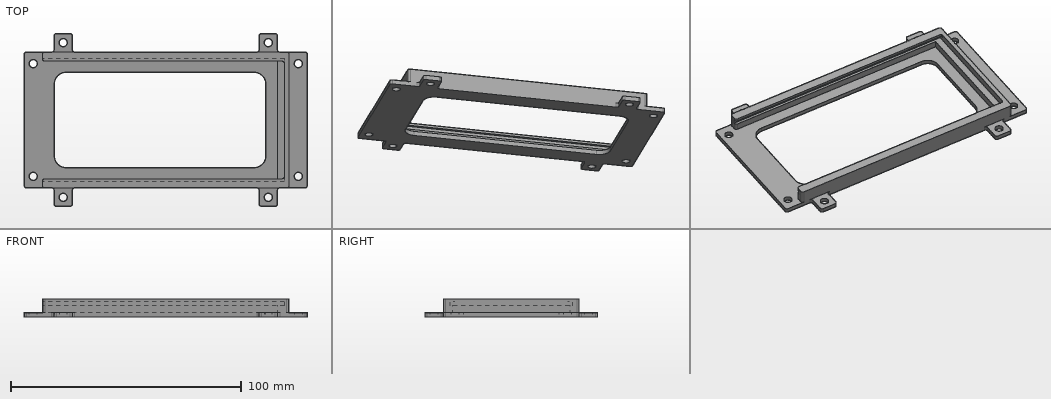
import cadquery as cq

plate_length = 123.0
plate_width = 59.0
plate_thickness = 2.0
corner_radius = 1.0

overall_width = 75.0
tab_width = 8.0
tab_x = 44.5
tab_hole_y = 33.6
plate_hole_x = 57.6
plate_hole_y = 24.5
hole_diameter = 3.5

window_left = -48.3
window_right = 43.4
window_width = 41.3
window_radius = 5.0

overall_height = 8.0
rail_length = 107.0
rail_end_x = rail_length / 2
end_wall_thickness = 2.0

inner_width = 51.0
groove_depth = 1.17
groove_width = inner_width + 2 * groove_depth
groove_bottom = 5.0
groove_top = 6.9
pocket_end_x = rail_end_x - end_wall_thickness
ledge_depth = 3.1
ledge_start_x = pocket_end_x - ledge_depth


def box_between(x_start, x_end, width, z_bottom, z_top):
    """Box between two X and two Z positions, centred on Y."""
    return (
        cq.Workplane("XY")
        .box(x_end - x_start, width, z_top - z_bottom, centered=(False, True, False))
        .translate((x_start, 0, z_bottom))
    )


def make_plate():
    """Rounded plate with four tabs blended into its long sides."""
    half_width = plate_width / 2
    half_tab = tab_width / 2
    plate = box_between(-plate_length / 2, plate_length / 2, plate_width, 0, plate_thickness)
    plate = plate.edges("|Z").fillet(corner_radius)
    root_points = []
    for x in (-tab_x, tab_x):
        tab_strip = box_between(x - half_tab, x + half_tab, overall_width, 0, plate_thickness)
        plate = plate.union(tab_strip.edges("|Z").fillet(corner_radius))
        for edge_x in (x - half_tab, x + half_tab):
            root_points += [(edge_x, -half_width), (edge_x, half_width)]
    for x, y in root_points:
        root_edge = cq.selectors.NearestToPointSelector((x, y, plate_thickness / 2))
        plate = plate.edges(root_edge).fillet(corner_radius)
    return plate


def make_rail():
    """U-shaped rail with a retaining groove and a ledge at its closed end."""
    rail = box_between(-rail_end_x, rail_end_x, plate_width, 0, overall_height)
    rail = rail.edges("|Z").fillet(corner_radius)

    lower_space = box_between(-rail_end_x, ledge_start_x, inner_width, 0, groove_bottom)
    groove = box_between(-rail_end_x, pocket_end_x, groove_width, groove_bottom, groove_top)
    lip_opening = box_between(-rail_end_x, pocket_end_x, inner_width, groove_top, overall_height)
    lip_opening = lip_opening.edges("|Z and >X").fillet(corner_radius)

    rail = rail.cut(lower_space).cut(groove).cut(lip_opening)
    for y in (-inner_width / 2, inner_width / 2):
        for z in (groove_bottom / 2, (groove_top + overall_height) / 2):
            end_edge = cq.selectors.NearestToPointSelector((-rail_end_x, y, z))
            rail = rail.edges("|Z").edges(end_edge).fillet(corner_radius)
    return rail


def cut_window(body):
    window = box_between(window_left, window_right, window_width, 0, plate_thickness)
    return body.cut(window.edges("|Z").fillet(window_radius))


def drill_holes(body):
    points = []
    for x_sign in (-1, 1):
        for y_sign in (-1, 1):
            points.append((x_sign * plate_hole_x, y_sign * plate_hole_y))
            points.append((x_sign * tab_x, y_sign * tab_hole_y))
    holes = cq.Workplane("XY").pushPoints(points).circle(hole_diameter / 2).extrude(plate_thickness)
    return body.cut(holes)


body = make_plate().union(make_rail())
result = drill_holes(cut_window(body))